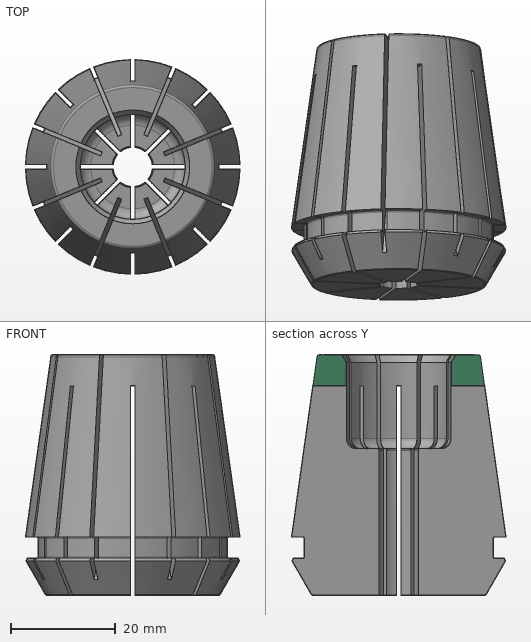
import cadquery as cq
import math

HEIGHT = 46.0
MAX_RADIUS = 20.5

HEAD_ANGLE = 30.0
HEAD_RADIUS = 20.42
HEAD_TOP_Z = 7.1
HEAD_EDGE_HEIGHT = 0.5
HEAD_EDGE_WIDTH = 0.3
BASE_EDGE = 0.15

GROOVE_RADIUS = 18.1
GROOVE_TOP_Z = 11.1
GROOVE_FILLET = 0.2

TAPER_ANGLE = 8.0
TOP_FILLET = 0.5

GRIP_RADIUS = 3.75
GRIP_EDGE = 0.2
GRIP_LENGTH = 28.0
RELIEF_RADIUS = 10.0
RELIEF_FLOOR_FILLET = 2.0
MOUTH_DEPTH = 1.5
MOUTH_ANGLE = 30.0

SLOT_COUNT = 8
SLOT_PITCH = 360.0 / SLOT_COUNT
BOTTOM_SLOT_WIDTH = 0.83
BOTTOM_SLOT_END_Z = 40.0
TOP_SLOT_WIDTH = 0.8
TOP_SLOT_EXIT_Z = 3.0
TOP_SLOT_INNER_RADIUS = 6.5

CUT_CLEARANCE = 1.0


def slope_run(height, angle):
    """Radial change over a height on a cone of the given half angle."""
    return height * math.tan(math.radians(angle))


HEAD_EDGE_Z = HEAD_TOP_Z - HEAD_EDGE_HEIGHT
BASE_RADIUS = HEAD_RADIUS - slope_run(HEAD_EDGE_Z, HEAD_ANGLE)


def make_body():
    """Turned body with its head, groove, taper and stepped bore."""
    top_corner_radius = MAX_RADIUS - slope_run(HEIGHT - GROOVE_TOP_Z, TAPER_ANGLE)
    top_tangent = slope_run(TOP_FILLET, (90 - TAPER_ANGLE) / 2)
    taper_end_z = HEIGHT - top_tangent * math.cos(math.radians(TAPER_ANGLE))
    taper_end_radius = top_corner_radius + slope_run(HEIGHT - taper_end_z, TAPER_ANGLE)
    mouth_radius = RELIEF_RADIUS + slope_run(MOUTH_DEPTH, MOUTH_ANGLE)

    fillet_start_radius = RELIEF_RADIUS - RELIEF_FLOOR_FILLET
    fillet_end_z = GRIP_LENGTH + RELIEF_FLOOR_FILLET
    fillet_offset = RELIEF_FLOOR_FILLET * math.sqrt(0.5)
    fillet_middle = (fillet_start_radius + fillet_offset, fillet_end_z - fillet_offset)

    profile = (
        cq.Workplane("XZ")
        .moveTo(GRIP_RADIUS, 0)
        .lineTo(BASE_RADIUS - BASE_EDGE, 0)
        .lineTo(BASE_RADIUS + slope_run(BASE_EDGE, HEAD_ANGLE), BASE_EDGE)
        .lineTo(HEAD_RADIUS, HEAD_EDGE_Z)
        .lineTo(HEAD_RADIUS - HEAD_EDGE_WIDTH, HEAD_TOP_Z)
        .lineTo(GROOVE_RADIUS + GROOVE_FILLET, HEAD_TOP_Z)
        .radiusArc((GROOVE_RADIUS, HEAD_TOP_Z + GROOVE_FILLET), GROOVE_FILLET)
        .lineTo(GROOVE_RADIUS, GROOVE_TOP_Z - GROOVE_FILLET)
        .radiusArc((GROOVE_RADIUS + GROOVE_FILLET, GROOVE_TOP_Z), GROOVE_FILLET)
        .lineTo(MAX_RADIUS, GROOVE_TOP_Z)
        .lineTo(taper_end_radius, taper_end_z)
        .radiusArc((top_corner_radius - top_tangent, HEIGHT), -TOP_FILLET)
        .lineTo(mouth_radius, HEIGHT)
        .lineTo(RELIEF_RADIUS, HEIGHT - MOUTH_DEPTH)
        .lineTo(RELIEF_RADIUS, fillet_end_z)
        .threePointArc(fillet_middle, (fillet_start_radius, GRIP_LENGTH))
        .lineTo(GRIP_RADIUS + GRIP_EDGE, GRIP_LENGTH)
        .lineTo(GRIP_RADIUS, GRIP_LENGTH - GRIP_EDGE)
        .close()
    )
    return profile.revolve(360, (0, 0, 0), (0, 1, 0))


def make_bottom_slot(angle):
    """Radial cutter from the axis outward, open at the bottom face."""
    length = MAX_RADIUS + CUT_CLEARANCE
    return (
        cq.Workplane("XY", origin=(length / 2, 0, -CUT_CLEARANCE))
        .rect(length, BOTTOM_SLOT_WIDTH)
        .extrude(BOTTOM_SLOT_END_Z + CUT_CLEARANCE)
        .rotate((0, 0, 0), (0, 0, 1), angle)
    )


def make_top_slot(angle):
    """Cutter open at the top, with a floor falling outward from the bore floor to the head cone."""
    exit_radius = BASE_RADIUS + slope_run(TOP_SLOT_EXIT_Z, HEAD_ANGLE)
    floor_slope = (GRIP_LENGTH - TOP_SLOT_EXIT_Z) / (exit_radius - TOP_SLOT_INNER_RADIUS)
    outer_radius = MAX_RADIUS + CUT_CLEARANCE
    outer_floor_z = TOP_SLOT_EXIT_Z - floor_slope * (outer_radius - exit_radius)
    top_z = HEIGHT + CUT_CLEARANCE
    return (
        cq.Workplane("XZ")
        .moveTo(TOP_SLOT_INNER_RADIUS, GRIP_LENGTH)
        .lineTo(outer_radius, outer_floor_z)
        .lineTo(outer_radius, top_z)
        .lineTo(TOP_SLOT_INNER_RADIUS, top_z)
        .close()
        .extrude(TOP_SLOT_WIDTH / 2, both=True)
        .rotate((0, 0, 0), (0, 0, 1), angle)
    )


def cut_slots(body):
    """Cut both sets of slots, the top set halfway between the bottom ones."""
    for index in range(SLOT_COUNT):
        bottom_angle = index * SLOT_PITCH
        top_angle = bottom_angle + SLOT_PITCH / 2
        body = body.cut(make_bottom_slot(bottom_angle))
        body = body.cut(make_top_slot(top_angle))
    return body


result = cut_slots(make_body())